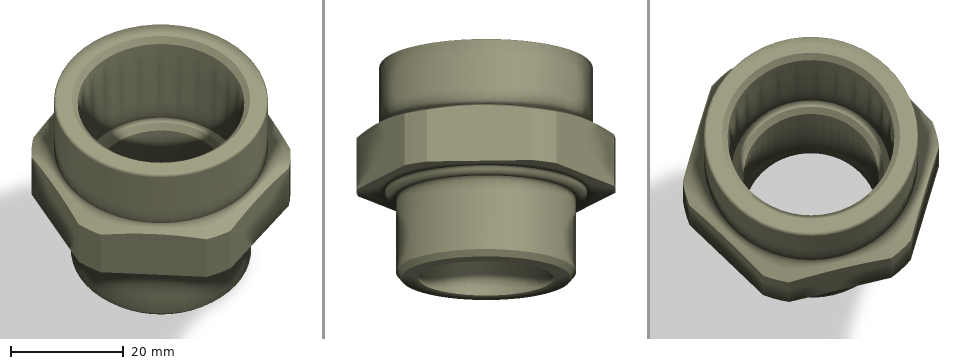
import cadquery as cq
import math

total_height = 39.0
hex_bottom = 16.0
collar_bottom = 27.0

spigot_radius = 16.0
spigot_chamfer_width = 0.9
spigot_chamfer_height = 1.1

across_flats = 42.0
hex_corner_radius = 23.0
hex_top_slope = math.radians(21.0)

collar_radius = 19.0
collar_fillet = 0.5

passage_radius = 12.0
passage_chamfer = 1.0
socket_floor = 20.0
socket_mouth_radius = 14.8
socket_mouth_chamfer = 1.0
taper_per_length = 1 / 32

seal_radius = 18.0
seal_thickness = 1.35
seal_fillet = 1.2


def revolve_profile(points):
    """Turn a closed (radius, height) outline about the Z axis."""
    return cq.Workplane("XZ").polyline(points).close().revolve(360, (0, 0, 0), (0, 1, 0))


def make_spigot():
    chamfer_radius = spigot_radius - spigot_chamfer_width
    return revolve_profile([
        (0, 0),
        (chamfer_radius, 0),
        (spigot_radius, spigot_chamfer_height),
        (spigot_radius, hex_bottom),
        (0, hex_bottom),
    ])


def make_hexagon():
    """Hexagonal prism with flats facing +X and -X, trimmed by a turned cone-topped blank."""
    across_corners = across_flats / math.cos(math.pi / 6)
    prism = (
        cq.Workplane("XY", origin=(0, 0, hex_bottom))
        .transformed(rotate=(0, 0, 30))
        .polygon(6, across_corners)
        .extrude(collar_bottom - hex_bottom)
    )
    cone_drop = (hex_corner_radius - collar_radius) * math.tan(hex_top_slope)
    blank = revolve_profile([
        (0, hex_bottom),
        (hex_corner_radius, hex_bottom),
        (hex_corner_radius, collar_bottom - cone_drop),
        (collar_radius, collar_bottom),
        (0, collar_bottom),
    ])
    return prism.intersect(blank)


def make_collar():
    return (
        cq.Workplane("XY", origin=(0, 0, collar_bottom))
        .circle(collar_radius)
        .extrude(total_height - collar_bottom)
        .faces(">Z")
        .edges()
        .fillet(collar_fillet)
    )


def make_bore():
    """Passage, tapered socket and their lead-in chamfers as one cutting body."""
    socket_top = total_height - socket_mouth_chamfer
    socket_floor_radius = socket_mouth_radius - (socket_top - socket_floor) * taper_per_length
    return revolve_profile([
        (0, 0),
        (passage_radius, 0),
        (passage_radius, socket_floor - passage_chamfer),
        (passage_radius + passage_chamfer, socket_floor),
        (socket_floor_radius, socket_floor),
        (socket_mouth_radius, socket_top),
        (socket_mouth_radius + socket_mouth_chamfer, total_height),
        (0, total_height),
    ])


def make_seal():
    """Flat ring around the spigot, against the hexagon, rounded at its lower outer edge."""
    disc = (
        cq.Workplane("XY", origin=(0, 0, hex_bottom - seal_thickness))
        .circle(seal_radius)
        .extrude(seal_thickness)
        .faces("<Z")
        .edges()
        .fillet(seal_fillet)
    )
    spigot_hole = cq.Workplane("XY").circle(spigot_radius).extrude(hex_bottom)
    return disc.cut(spigot_hole)


adapter = make_spigot().union(make_hexagon()).union(make_collar()).cut(make_bore())
seal = make_seal()

result = cq.Compound.makeCompound([adapter.val(), seal.val()])